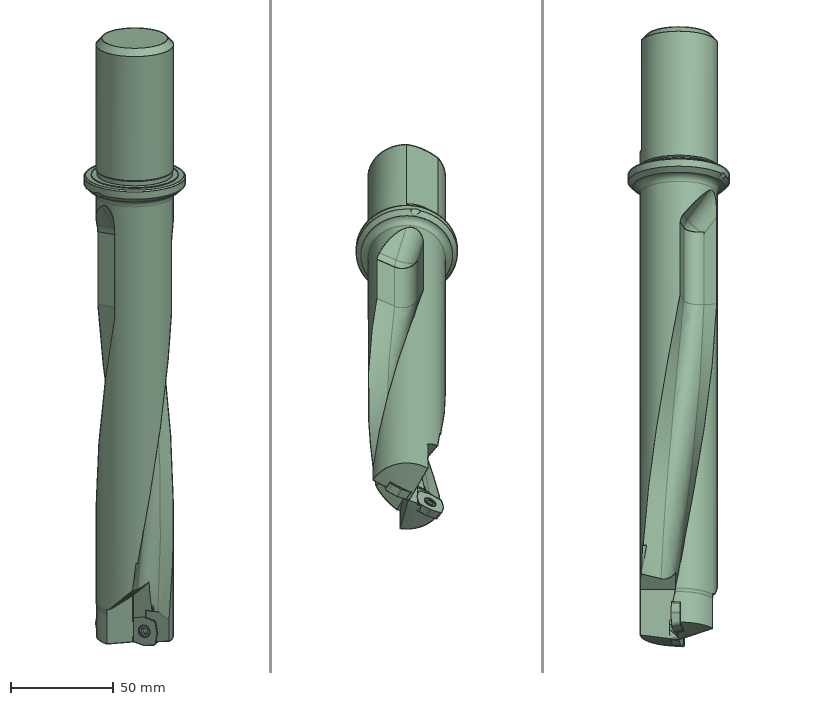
import cadquery as cq
import math

overall_length = 311.87

shank_length = 70.0
shank_radius = 38.1 / 2
shank_chamfer_radial = 3.0
shank_chamfer_height = 3.3
shank_flat_offset = 17.0
shank_flat_length = 60.0
neck_radius = 36.9 / 2
neck_length = 2.8
neck_chamfer = shank_radius - neck_radius

flange_radius = 49.6 / 2
flange_land_radius = 21.3
flange_land_height = 0.4
flange_edge_chamfer = 0.7
flange_rim_height = 4.8
flange_cove_radius = 3.5

body_radius = 37.9 / 2
head_radius = 37.39 / 2
head_top = 19.8
head_step_height = 1.7
point_angle = 10.0
point_height = 0.8

flute_floor = -4.2
flute_corner_radius = 8.4
flute_wall = -0.4
flute_straight_end = 209.4
flute_twist_start = 173.0
flute_twist_per_mm = 0.548
flute_exit_angle = 37.0
flute_exit_length = 40.0
flute_outer = 30.0

center_gash_floor = (-0.8, -8.5)
outer_gash_floor = (1.2, 2.5)
gash_slope_start = (-4.0, 22.0)
gash_slope_end = (8.5, 33.5)
gash_top = 47.5
gash_top_side = 10.0
relief_steps = [(gash_top_side, 28.0, 0.4), (6.0, 18.3, 0.8)]

insert_half_width = 6.4
insert_peak = 7.3
insert_corner_radius = 1.6
insert_thickness = 4.3
insert_relief_angle = 7.0
center_insert_position = (5.2, insert_peak)
outer_insert_position = (12.9, insert_peak + 1.3)

screw_recess_diameter = 6.2
screw_head_diameter = 5.6
screw_hole_diameter = 4.8
screw_shank_diameter = 4.0
screw_socket_diameter = 3.5
screw_recess_depth = 0.5
screw_head_taper_depth = 2.0
screw_socket_depth = 1.5
screw_length = 10.0

flange_top = overall_length - shank_length
shank_bottom = flange_top + neck_length
land_bottom = flange_top - flange_land_height
rim_bottom = flange_top - flange_rim_height
cove_outer_radius = body_radius + flange_cove_radius
cove_top = rim_bottom - (flange_radius - cove_outer_radius)
body_top = cove_top - flange_cove_radius
body_bottom = head_top + head_step_height
point_rim = point_height + body_radius * math.tan(math.radians(point_angle))
below_tip = -5.0
half_turn = 180.0


def rotated(shape, angle):
    return shape.rotate((0, 0, 0), (0, 0, 1), angle)


def turned_blank():
    cove_mid = flange_cove_radius * math.sqrt(0.5)
    return (
        cq.Workplane("XZ")
        .moveTo(0, point_height)
        .lineTo(body_radius, point_rim)
        .lineTo(body_radius, body_top)
        .threePointArc(
            (cove_outer_radius - cove_mid, cove_top - flange_cove_radius + cove_mid),
            (cove_outer_radius, cove_top),
        )
        .lineTo(flange_radius, rim_bottom)
        .lineTo(flange_radius, land_bottom - flange_edge_chamfer)
        .lineTo(flange_radius - flange_edge_chamfer, land_bottom)
        .lineTo(flange_land_radius, land_bottom)
        .lineTo(flange_land_radius, flange_top)
        .lineTo(neck_radius, flange_top)
        .lineTo(neck_radius, shank_bottom - neck_chamfer)
        .lineTo(shank_radius, shank_bottom)
        .lineTo(shank_radius, overall_length - shank_chamfer_height)
        .lineTo(shank_radius - shank_chamfer_radial, overall_length)
        .lineTo(0, overall_length)
        .close()
        .revolve(360, (0, 0, 0), (0, 1, 0))
    )


def head_step():
    """Half ring that reduces the head on its -Y side."""
    return (
        cq.Workplane("XZ")
        .polyline([
            (head_radius, below_tip),
            (head_radius, head_top),
            (body_radius, body_bottom),
            (flute_outer, body_bottom),
            (flute_outer, below_tip),
        ])
        .close()
        .revolve(half_turn, (0, 0, 0), (0, -1, 0))
    )


def shank_flat():
    return cq.Workplane("XY").box(
        2 * flange_radius, shank_radius, shank_flat_length, centered=(True, False, False)
    ).translate((0, shank_flat_offset, overall_length - shank_flat_length))


def flute_section(level):
    corner_x = flute_wall - flute_corner_radius
    corner_y = flute_floor - flute_corner_radius
    corner_mid = flute_corner_radius * math.sqrt(0.5)
    return (
        cq.Workplane("XY", origin=(0, 0, level))
        .moveTo(-flute_outer, flute_floor)
        .lineTo(corner_x, flute_floor)
        .threePointArc((corner_x + corner_mid, corner_y + corner_mid), (flute_wall, corner_y))
        .lineTo(flute_wall, -flute_outer)
        .lineTo(-flute_outer, -flute_outer)
        .close()
    )


def flute_cutters():
    twist_length = flute_twist_start - below_tip
    twisted = flute_section(flute_twist_start).twistExtrude(
        -twist_length, twist_length * flute_twist_per_mm
    )
    straight = flute_section(flute_twist_start).extrude(flute_straight_end - flute_twist_start)

    pivot = (0, flute_floor - flute_corner_radius, flute_straight_end)
    pivot_end = (1, pivot[1], pivot[2])
    run_out = (
        flute_section(flute_straight_end)
        .extrude(flute_exit_length)
        .rotate(pivot, pivot_end, flute_exit_angle)
    )
    slab_height = 1.0
    swing_half = cq.Workplane("XY").box(
        2 * flute_outer, flute_corner_radius, flute_outer, centered=(True, False, True)
    ).translate(pivot)
    swing_profile = flute_section(flute_straight_end).extrude(slab_height).intersect(swing_half)
    swing = (
        swing_profile.faces("<Z").wires().toPending()
        .workplane(origin=pivot)
        .revolve(flute_exit_angle, (0, 0, 0), (1, 0, 0))
    )
    return [twisted, straight, swing, run_out]


def gash_cutter(floor_ends):
    """Opens the +X, -Y quadrant; floor_ends gives the floor's X at the wall and at the outside."""
    floor_at_wall, floor_outside = floor_ends
    plan = (
        cq.Workplane("XY", origin=(0, 0, below_tip))
        .polyline([
            (floor_at_wall, 0),
            (floor_outside, -flute_outer),
            (flute_outer, -flute_outer),
            (flute_outer, 0),
        ])
        .close()
        .extrude(gash_top - below_tip)
    )
    side = (
        cq.Workplane("XZ")
        .polyline([
            (-flute_outer, below_tip),
            (-flute_outer, gash_slope_start[1]),
            gash_slope_start,
            gash_slope_end,
            (gash_top_side, gash_top),
            (flute_outer, gash_top),
            (flute_outer, below_tip),
        ])
        .close()
        .extrude(flute_outer)
    )
    return plan.intersect(side)


def relief_cutter(inner_edge, top, depth):
    return cq.Workplane("XY").box(
        flute_outer, depth, top - below_tip, centered=False
    ).translate((inner_edge, 0, below_tip))


def seat_plane(position):
    return cq.Workplane("XZ", origin=(position[0], 0, position[1]))


def insert_blank(position):
    peak = insert_peak - insert_corner_radius
    half_width = insert_half_width - insert_corner_radius
    outline = []
    for quarter in range(4):
        angle = math.radians(90 * quarter)
        for x, z in [(0, -peak), (half_width, -half_width)]:
            outline.append((
                x * math.cos(angle) - z * math.sin(angle),
                x * math.sin(angle) + z * math.cos(angle),
            ))
    return (
        seat_plane(position)
        .polyline(outline)
        .close()
        .offset2D(insert_corner_radius)
        .extrude(-insert_thickness, taper=insert_relief_angle)
    )


def screw_space(position):
    """Countersunk hole that the screw fills, with the recess above its head."""
    recess = seat_plane(position).circle(screw_recess_diameter / 2).extrude(-screw_recess_depth)
    return recess.union(screw_solid(position))


def screw_solid(position):
    profile = [
        (0, screw_recess_depth),
        (screw_head_diameter / 2, screw_recess_depth),
        (screw_hole_diameter / 2, screw_head_taper_depth),
        (screw_hole_diameter / 2, insert_thickness),
        (screw_shank_diameter / 2, insert_thickness),
        (screw_shank_diameter / 2, screw_length),
        (0, screw_length),
    ]
    return (
        cq.Workplane("XY", origin=(position[0], 0, position[1]))
        .polyline(profile)
        .close()
        .revolve(360, (0, 0, 0), (0, 1, 0))
    )


def insert_screw(position):
    socket = (
        seat_plane(position)
        .circle(screw_socket_diameter / 2)
        .extrude(-(screw_recess_depth + screw_socket_depth))
    )
    return screw_solid(position).cut(socket)


sides = [
    (0.0, center_gash_floor, center_insert_position),
    (half_turn, outer_gash_floor, outer_insert_position),
]

drill_body = turned_blank().cut(head_step()).cut(shank_flat())
inserts = []
screws = []
for turn, gash_floor, position in sides:
    blank = rotated(insert_blank(position), turn)
    cutters = flute_cutters() + [gash_cutter(gash_floor)]
    cutters += [relief_cutter(*step) for step in relief_steps]
    cutters += [insert_blank(position), screw_solid(position)]
    for cutter in cutters:
        drill_body = drill_body.cut(rotated(cutter, turn))
    inserts.append(blank.cut(rotated(screw_space(position), turn)))
    screws.append(rotated(insert_screw(position), turn))

result = cq.Compound.makeCompound([
    drill_body.val(),
    *[insert.val() for insert in inserts],
    *[screw.val() for screw in screws],
])